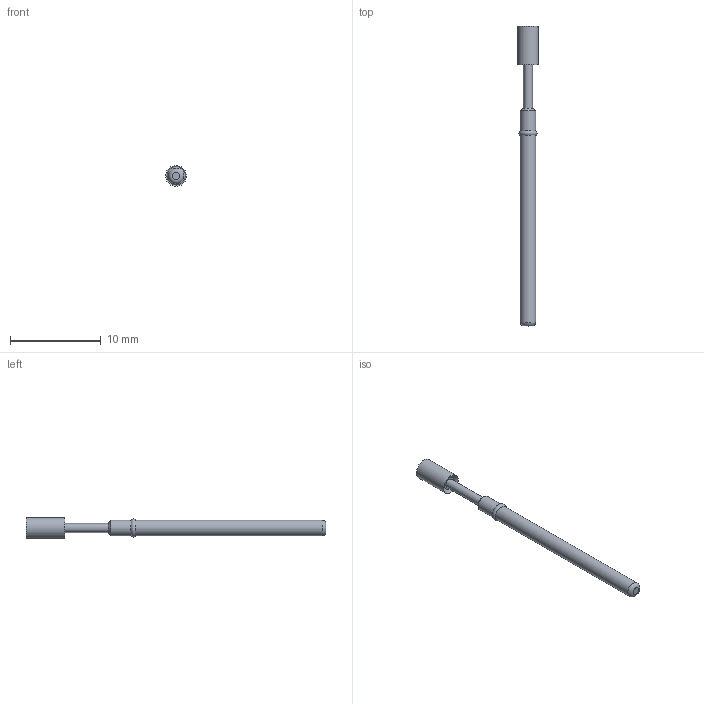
import cadquery as cq

total_length = 33.1
head_diameter = 2.3
head_length = 4.25
recess_depth = 0.3
recess_floor_diameter = 1.5
plunger_diameter = 1.0
barrel_diameter = 1.7
barrel_length = 24.0
barrel_chamfer_length = 0.25
barrel_mouth_diameter = 1.2
tail_fillet = 0.42
bead_diameter = 2.0
bead_width = 0.5
bead_center = 21.27

head_start = total_length - head_length


def rod(diameter, start, end):
    """Cylinder on the Y axis between two positions."""
    return cq.Workplane("XZ", origin=(0, start, 0)).circle(diameter / 2).extrude(start - end)


def make_barrel():
    """Barrel with rounded tail, press-fit bead and coned mouth."""
    radius = barrel_diameter / 2
    round_mid = tail_fillet * (1 - 0.5**0.5)
    bead_start = bead_center - bead_width / 2
    bead_end = bead_center + bead_width / 2
    return (
        cq.Workplane("XY")
        .lineTo(radius - tail_fillet, 0)
        .threePointArc((radius - round_mid, round_mid), (radius, tail_fillet))
        .lineTo(radius, bead_start)
        .threePointArc((bead_diameter / 2, bead_center), (radius, bead_end))
        .lineTo(radius, barrel_length - barrel_chamfer_length)
        .lineTo(barrel_mouth_diameter / 2, barrel_length)
        .lineTo(0, barrel_length)
        .close()
        .revolve(360, (0, 0, 0), (0, 1, 0))
    )


def make_head():
    """Contact head with a flat-bottomed conical recess around the plunger."""
    head = rod(head_diameter, head_start, total_length)
    recess_floor = head_start + recess_depth
    recess = (
        cq.Workplane("XY")
        .moveTo(0, head_start)
        .lineTo(head_diameter / 2, head_start)
        .lineTo(recess_floor_diameter / 2, recess_floor)
        .lineTo(0, recess_floor)
        .close()
        .revolve(360, (0, 0, 0), (0, 1, 0))
    )
    return head.cut(recess)


plunger = rod(plunger_diameter, barrel_length - barrel_chamfer_length, total_length)
result = make_barrel().union(plunger).union(make_head())